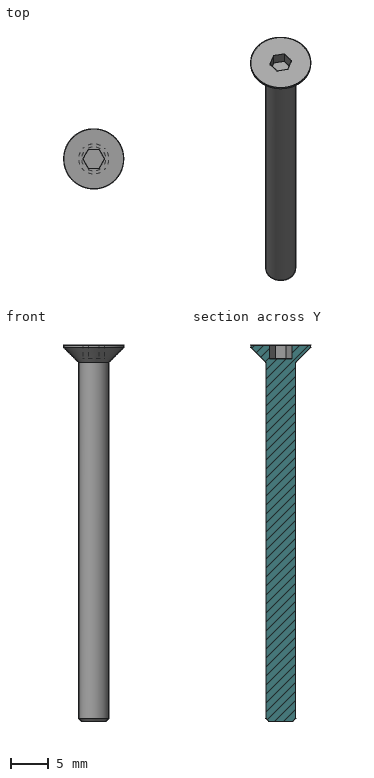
import cadquery as cq
import math

total_length = 50.0
head_diameter = 8.0
shank_diameter = 4.0

cone_angle = 90.0
rim_height = 0.3

tip_diameter = 3.2
tip_chamfer = (shank_diameter - tip_diameter) / 2

socket_across_flats = 2.5
socket_depth = 1.8

head_radius = head_diameter / 2
shank_radius = shank_diameter / 2
cone_height = (head_radius - shank_radius) / math.tan(math.radians(cone_angle / 2))
cone_top = total_length - rim_height
cone_bottom = cone_top - cone_height
socket_across_corners = socket_across_flats / math.cos(math.radians(30))


def screw_body():
    """Half profile of the screw in the XZ plane, turned about the Z axis."""
    return (
        cq.Workplane("XZ")
        .moveTo(0, 0)
        .lineTo(tip_diameter / 2, 0)
        .lineTo(shank_radius, tip_chamfer)
        .lineTo(shank_radius, cone_bottom)
        .lineTo(head_radius, cone_top)
        .lineTo(head_radius, total_length)
        .lineTo(0, total_length)
        .close()
        .revolve(360, (0, 0, 0), (0, 1, 0))
    )


def hex_socket():
    """Flat-bottomed hexagonal prism, sunk from the top face of the head."""
    return (
        cq.Workplane("XY")
        .workplane(offset=total_length)
        .polygon(6, socket_across_corners)
        .extrude(-socket_depth)
    )


result = screw_body().cut(hex_socket())